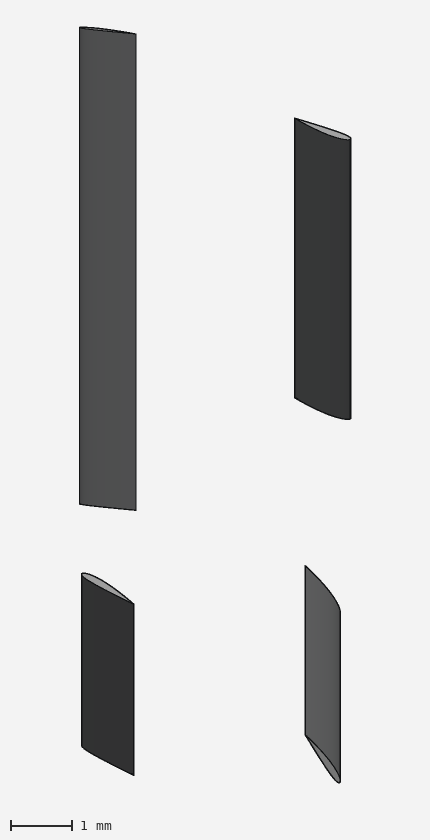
import cadquery as cq
import math

SPAN = 8.0
CHORD = 1.0

THICKNESS = 0.12
CAMBER = 0.02
CAMBER_POSITION = 0.4

STRIPS = 100


def half_thickness(x):
    """NACA four-digit half thickness, with its thin open trailing edge."""
    return 5 * THICKNESS * (
        0.2969 * math.sqrt(x) - 0.1260 * x - 0.3516 * x**2 + 0.2843 * x**3 - 0.1015 * x**4
    )


def camber_line(x):
    """Height and slope angle of the mean line: two parabolas meeting at its crest."""
    p = CAMBER_POSITION
    if x < p:
        curvature = CAMBER / p**2
    else:
        curvature = CAMBER / (1 - p) ** 2
    height = CAMBER - curvature * (x - p) ** 2
    slope = 2 * curvature * (p - x)
    return height, math.atan(slope)


def surface_point(x, side):
    """Point set off square to the mean line; side is +1 for upper, -1 for lower."""
    height, angle = camber_line(x)
    offset = side * half_thickness(x)
    return (
        CHORD * (x - offset * math.sin(angle)),
        CHORD * (height + offset * math.cos(angle)),
    )


def aerofoil_outline():
    """Upper trailing edge, round the leading edge, to the lower trailing edge."""
    stations = [i / STRIPS for i in range(STRIPS + 1)]
    upper = [surface_point(x, 1) for x in reversed(stations)]
    lower = [surface_point(x, -1) for x in stations[1:]]
    return upper + lower


result = cq.Workplane("XY").polyline(aerofoil_outline()).close().extrude(SPAN)